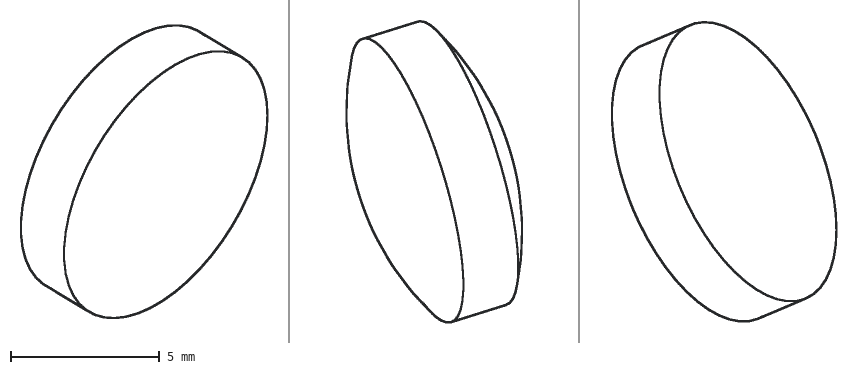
import cadquery as cq

diameter = 10.0
center_thickness = 4.87
edge_thickness = 2.0

rim_radius = diameter / 2
half_center = center_thickness / 2
half_edge = edge_thickness / 2
sag = half_center - half_edge
surface_radius = (rim_radius**2 + sag**2) / (2 * sag)


def dome_point(height):
    """Point on the +X spherical surface at the given distance from the axis."""
    sphere_center_x = half_center - surface_radius
    return (sphere_center_x + (surface_radius**2 - height**2) ** 0.5, height)


def mirrored(point):
    """Reflect a profile point to the -X side of the lens."""
    x, height = point
    return (-x, height)


def make_lens():
    """Revolve the half section of the lens a full turn about the X axis."""
    mid_arc = dome_point(rim_radius / 2)
    half_section = (
        cq.Workplane("XY")
        .moveTo(-half_center, 0)
        .threePointArc(mirrored(mid_arc), (-half_edge, rim_radius))
        .lineTo(half_edge, rim_radius)
        .threePointArc(mid_arc, (half_center, 0))
        .close()
    )
    return half_section.revolve(360, (0, 0, 0), (1, 0, 0))


result = make_lens()